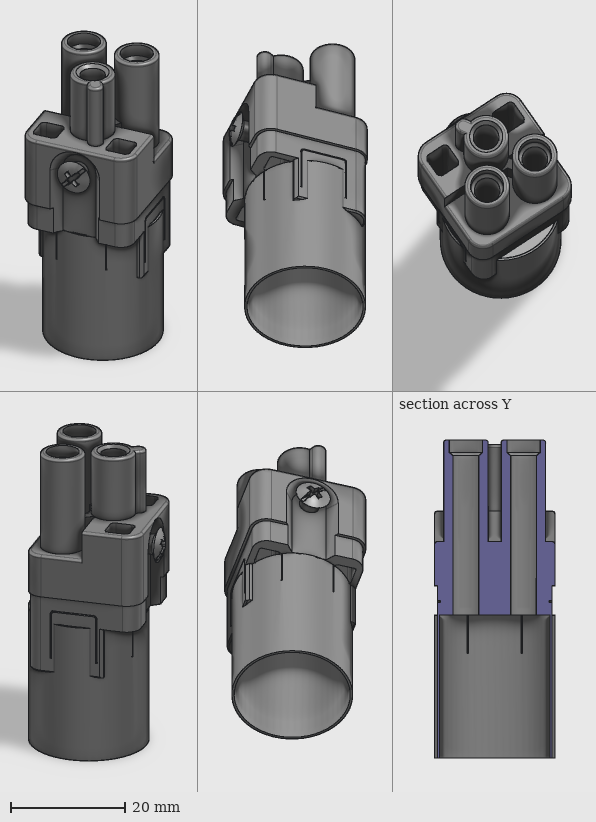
import cadquery as cq
import math

sleeve_radius = 10.6
sleeve_wall = 0.42
sleeve_height = 25.1

collar_width = 21.15
collar_depth = 20.95
collar_center_y = -1.84
collar_step_y = -1.94
collar_corner_radius = 3.1
collar_top_z = 43.3
rear_top_z = 38.0
edge_round = 0.5

neck_size = 20.15
neck_center_y = -1.74
neck_corner_radius = 2.6
neck_top_z = 30.2
neck_bottom_z = sleeve_height

skirt_bottom_z = 15.8
skirt_front_y = -5.62
skirt_edge_chamfer = 0.6
skirt_bottom_chamfer = 0.3

tube_radius = 3.93
tube_bore_radius = 2.23
tube_mouth_radius = 2.9
rear_tube_x = 5.05
rear_tube_y = 3.24
rear_tube_top_z = 55.8
rear_mouth_depth = 2.2
mouth_cone_depth = 0.55
front_tube_y = -4.53
front_tube_top_z = 55.0

key_radius = 1.38
key_x = 2.23
key_reach_y = -3.85

web_thickness = 1.8
web_bridge_reach = 4.19

window_size = 4.5
window_bottom_size = 3.8
window_corner_radius = 0.85
window_x = 6.95
window_y = -7.85

channel_half_width = 4.74
channel_floor_half_width = 3.13
channel_depth = 2.0

latch_center_y = -0.28
latch_width = 8.6
latch_top_z = 27.6
latch_bottom_z = 18.6
latch_corner_radius = 0.7
latch_slit_width = 0.25
latch_slit_depth = 0.5

sleeve_slit_width = 0.15
sleeve_slit_bottom_z = 18.4

screw_z = 38.1
screw_tip_y = -13.86
screw_rim_y = -12.85
screw_rim_radius = 3.13
screw_neck_radius = 1.8
screw_neck_front_y = -12.1
screw_slot_width = 0.65
screw_slot_floor_y = -12.97
screw_cross_span = 3.0
screw_cross_width = 0.9
screw_cross_floor_y = -12.7
screw_drive_angle = 45

collar_front_y = collar_center_y - collar_depth / 2
channel_floor_y = collar_front_y + channel_depth
channel_draft = math.degrees(math.atan((channel_half_width - channel_floor_half_width) / channel_depth))


def rounded_block(width, depth, center_y, corner_radius, bottom_z, top_z):
    return (
        cq.Workplane("XY", origin=(0, center_y, bottom_z))
        .rect(width, depth)
        .extrude(top_z - bottom_z)
        .edges("|Z")
        .fillet(corner_radius)
    )


def box_between(x_min, x_max, y_min, y_max, z_min, z_max):
    return cq.Workplane("XY").box(
        x_max - x_min, y_max - y_min, z_max - z_min, centered=False
    ).translate((x_min, y_min, z_min))


def collar():
    """Rounded square collar: high front half, low rear half, rounded top edges."""
    def block(top_z):
        body = rounded_block(
            collar_width, collar_depth, collar_center_y, collar_corner_radius, neck_top_z, top_z
        )
        return body.faces(">Z").edges().fillet(edge_round)

    half = collar_width / 2
    front_half = box_between(-half, half, collar_front_y, collar_step_y, neck_top_z, collar_top_z)
    return block(rear_top_z).union(block(collar_top_z).intersect(front_half))


def neck_block(bottom_z, top_z):
    return rounded_block(neck_size, neck_size, neck_center_y, neck_corner_radius, bottom_z, top_z)


def tube_webs():
    """Two webs from the front tube to the rear tubes and the bridge between them."""
    height = collar_top_z - rear_top_z
    run_y = rear_tube_y - front_tube_y
    length = math.hypot(rear_tube_x, run_y)
    bridge_half_width = (web_bridge_reach * rear_tube_x - web_thickness / 2 * length) / run_y
    webs = box_between(
        -bridge_half_width, bridge_half_width,
        collar_step_y, front_tube_y + web_bridge_reach, rear_top_z, collar_top_z,
    )
    for side in (-1, 1):
        web = (
            cq.Workplane("XY", origin=(side * rear_tube_x / 2, front_tube_y + run_y / 2, rear_top_z))
            .transformed(rotate=(0, 0, math.degrees(math.atan2(run_y, side * rear_tube_x))))
            .rect(length, web_thickness)
            .extrude(height)
        )
        webs = webs.union(web)
    return webs


def round_post(x, y, radius, bottom_z, top_z):
    return cq.Workplane("XY", origin=(x, y, bottom_z)).circle(radius).extrude(top_z - bottom_z)


def tube_bore(x, y, mouth_floor_z):
    """Through bore that opens over a short cone at the floor of its mouth."""
    cone = cq.Solid.makeCone(
        tube_mouth_radius, tube_bore_radius, mouth_cone_depth,
        pnt=cq.Vector(x, y, mouth_floor_z), dir=cq.Vector(0, 0, -1),
    )
    return round_post(x, y, tube_bore_radius, neck_bottom_z, mouth_floor_z).union(cq.Workplane(cone))


def rear_tube_bore(side):
    """Bore with a wide straight mouth above its cone."""
    x = side * rear_tube_x
    mouth_floor_z = rear_tube_top_z - rear_mouth_depth
    mouth = round_post(x, rear_tube_y, tube_mouth_radius, mouth_floor_z, rear_tube_top_z)
    return tube_bore(x, rear_tube_y, mouth_floor_z).union(mouth)


def front_tube():
    """Front tube with a radial key rib that ends in a round nose."""
    height = front_tube_top_z - rear_top_z
    tube = round_post(0, front_tube_y, tube_radius, rear_top_z, front_tube_top_z)
    nose = round_post(key_x, front_tube_y + key_reach_y, key_radius, rear_top_z, front_tube_top_z)
    arm = (
        cq.Workplane("XY", origin=(key_x / 2, front_tube_y + key_reach_y / 2, rear_top_z))
        .transformed(rotate=(0, 0, math.degrees(math.atan2(key_reach_y, key_x))))
        .rect(math.hypot(key_x, key_reach_y), 2 * key_radius)
        .extrude(height)
    )
    return tube.union(arm).union(nose).faces(">Z").edges().fillet(edge_round)


def rear_tube(side):
    tube = round_post(side * rear_tube_x, rear_tube_y, tube_radius, neck_top_z, rear_tube_top_z)
    return tube.faces(">Z").edges().fillet(edge_round)


def window(side):
    """Square window through the block, drafted narrower toward the bottom."""
    depth = collar_top_z - neck_bottom_z
    draft = math.degrees(math.atan((window_size - window_bottom_size) / 2 / depth))
    outline = cq.Sketch().rect(window_size, window_size).vertices().fillet(window_corner_radius)
    return (
        cq.Workplane("XY", origin=(side * window_x, window_y, collar_top_z))
        .placeSketch(outline)
        .extrude(-depth, taper=draft)
    )


def screw_channel():
    """Round-topped channel down the front face, its walls drawn in toward the floor."""
    run_out_z = neck_bottom_z - channel_depth
    return (
        cq.Workplane("XZ", origin=(0, collar_front_y, 0))
        .moveTo(-channel_half_width, run_out_z)
        .lineTo(channel_half_width, run_out_z)
        .lineTo(channel_half_width, screw_z)
        .threePointArc((0, screw_z + channel_half_width), (-channel_half_width, screw_z))
        .close()
        .extrude(-channel_depth, taper=channel_draft)
    )


def skirt():
    """Skirt hanging from the neck around the sides and rear of the sleeve."""
    half = neck_size / 2
    rear_y = neck_center_y + half
    panel = neck_block(skirt_bottom_z, neck_bottom_z)
    panel = panel.faces("<Z").edges().chamfer(skirt_bottom_chamfer)
    keep = (
        box_between(-half, half, skirt_front_y, rear_y, skirt_bottom_z, neck_bottom_z)
        .edges("|Z and <Y")
        .chamfer(skirt_edge_chamfer)
    )
    return panel.intersect(keep)


def sleeve():
    return round_post(0, 0, sleeve_radius, 0, sleeve_height)


def latch_slit(side):
    """Inverted-U slit that outlines a latch tongue on the side of the skirt."""
    def arch(width, top_z, corner_radius):
        height = top_z - latch_bottom_z
        return (
            cq.Workplane("YZ", origin=(0, latch_center_y, latch_bottom_z + height / 2))
            .rect(width, height)
            .extrude(latch_slit_depth)
            .edges("|X and >Z")
            .fillet(corner_radius)
        )

    outer = arch(latch_width, latch_top_z, latch_corner_radius)
    inner = arch(
        latch_width - 2 * latch_slit_width,
        latch_top_z - latch_slit_width,
        latch_corner_radius - latch_slit_width,
    )
    start_x = neck_size / 2 - latch_slit_depth if side > 0 else -neck_size / 2
    return outer.cut(inner).translate((start_x, 0, 0))


def sleeve_slit(side):
    """Narrow slit down from the sleeve rim, in line with the channel edge."""
    x = side * channel_half_width
    half = sleeve_slit_width / 2
    return box_between(
        x - half, x + half, -sleeve_radius, 0, sleeve_slit_bottom_z, sleeve_height
    )


def make_housing():
    body = collar()
    body = body.union(neck_block(neck_bottom_z, neck_top_z))
    body = body.cut(screw_channel())
    body = body.union(tube_webs())
    body = body.union(front_tube())
    shell = sleeve().union(skirt())
    shell = shell.cut(round_post(0, 0, sleeve_radius - sleeve_wall, 0, sleeve_height))
    for side in (-1, 1):
        body = body.union(rear_tube(side))
        shell = shell.cut(sleeve_slit(side))
    body = body.union(shell)
    body = body.cut(tube_bore(0, front_tube_y, front_tube_top_z))
    for side in (-1, 1):
        body = body.cut(rear_tube_bore(side))
        body = body.cut(window(side))
        body = body.cut(latch_slit(side))
    return body


def make_screw():
    """Domed screw head seated on the channel floor, with a slot and a cross recess."""
    dome_height = screw_rim_y - screw_tip_y
    dome_radius = (screw_rim_radius**2 + dome_height**2) / (2 * dome_height)
    arc_x = screw_rim_radius / 2
    arc_y = screw_tip_y + dome_radius - math.sqrt(dome_radius**2 - arc_x**2)
    head = (
        cq.Workplane("XY")
        .moveTo(0, channel_floor_y)
        .lineTo(screw_neck_radius, channel_floor_y)
        .lineTo(screw_neck_radius, screw_neck_front_y)
        .lineTo(screw_rim_radius, screw_rim_y)
        .threePointArc((arc_x, arc_y), (0, screw_tip_y))
        .close()
        .revolve(360, (0, 0, 0), (0, 1, 0))
    )

    def drive_cut(length, width, floor_y):
        return cq.Workplane("XZ", origin=(0, floor_y, 0)).rect(length, width).extrude(floor_y - screw_tip_y)

    head = head.cut(drive_cut(2 * screw_rim_radius, screw_slot_width, screw_slot_floor_y))
    head = head.cut(drive_cut(screw_cross_span, screw_cross_width, screw_cross_floor_y))
    head = head.cut(drive_cut(screw_cross_width, screw_cross_span, screw_cross_floor_y))
    return head.rotate((0, 0, 0), (0, 1, 0), -screw_drive_angle).translate((0, 0, screw_z))


housing = make_housing()
screw = make_screw()

result = cq.Compound.makeCompound([housing.val(), screw.val()])